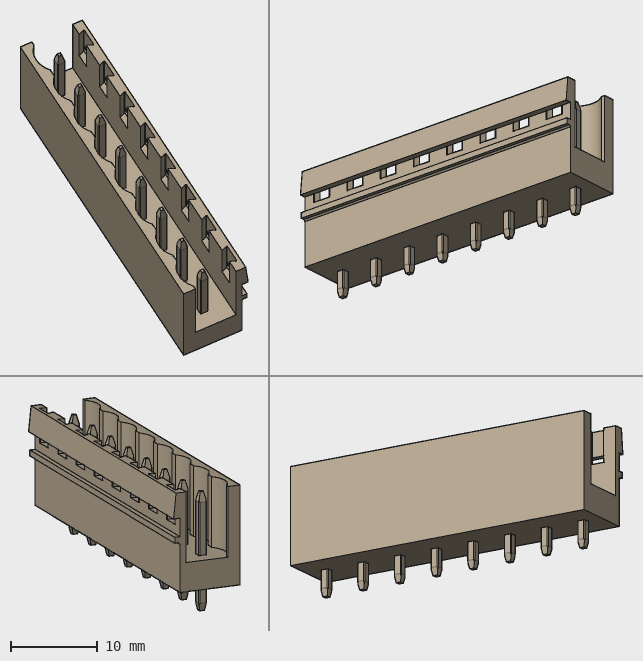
import cadquery as cq

pin_count = 8
pitch = 5.0
length = pin_count * pitch
pin_y = 3.8
pin_width = 1.0
pin_edge_chamfer = 0.1
pin_length = 14.3
lower_tip_length = 0.95
lower_tip_width = 0.6
upper_tip_length = 1.2
upper_tip_width = 0.4

housing_bottom = 3.2
housing_top = 15.2
floor_top = 6.7
front_wall = 1.5
back_wall_inner = 6.85
back_wall_outer = 7.65
scallop_radius = 3.05

latch_bottom = 12.1
latch_top_y = 8.1
latch_bottom_y = 8.45

rib_bottom = 9.2
rib_top = 9.9
rib_y = 8.3
rib_root_chamfer = 0.2

slot_bottom = 11.05
slot_mouth_width = 1.75
slot_back_width = 2.3
slot_straight_depth = 0.1

pin_positions = [(i + 0.5) * pitch for i in range(pin_count)]


def make_trough():
    """U-shaped section with the latch and the rib, run along the whole length."""
    profile = [
        (0, housing_bottom),
        (back_wall_outer, housing_bottom),
        (back_wall_outer, rib_bottom - rib_root_chamfer),
        (back_wall_outer + rib_root_chamfer, rib_bottom),
        (rib_y, rib_bottom),
        (rib_y, rib_top),
        (back_wall_outer, rib_top),
        (back_wall_outer, latch_bottom),
        (latch_bottom_y, latch_bottom),
        (latch_top_y, housing_top),
        (back_wall_inner, housing_top),
        (back_wall_inner, floor_top),
        (front_wall, floor_top),
        (front_wall, housing_top),
        (0, housing_top),
    ]
    return cq.Workplane("YZ").polyline(profile).close().extrude(length)


def make_scallop(x):
    """Round clearance around a pin, cut into the front wall above the floor."""
    return (
        cq.Workplane("XY", origin=(x, pin_y, floor_top))
        .circle(scallop_radius)
        .extrude(housing_top - floor_top)
        .intersect(front_block())
    )


def front_block():
    """Block that keeps the scallop cylinders off the back wall."""
    return cq.Workplane("XY").box(length, pin_y, housing_top, centered=False)


def make_slot(x):
    """Slot that widens toward the back of the wall, open at the top."""
    half_mouth = slot_mouth_width / 2
    half_back = slot_back_width / 2
    flare_end = back_wall_outer - slot_straight_depth
    outline = [
        (x - half_mouth, back_wall_inner),
        (x + half_mouth, back_wall_inner),
        (x + half_back, flare_end),
        (x + half_back, back_wall_outer),
        (x - half_back, back_wall_outer),
        (x - half_back, flare_end),
    ]
    return (
        cq.Workplane("XY", origin=(0, 0, slot_bottom))
        .polyline(outline)
        .close()
        .extrude(housing_top - slot_bottom)
    )


def make_tip(base_z, end_z, end_width):
    """Square taper from the full pin width to the end width."""
    return (
        cq.Workplane("XY", origin=(0, 0, base_z))
        .rect(pin_width, pin_width)
        .workplane(offset=end_z - base_z)
        .rect(end_width, end_width)
        .loft()
    )


def make_pin_blank():
    """Square bar with chamfered long edges."""
    return (
        cq.Workplane("XY")
        .rect(pin_width, pin_width)
        .extrude(pin_length)
        .edges("|Z")
        .chamfer(pin_edge_chamfer)
    )


def make_pin(x):
    """Pin with a tapered tip at both ends."""
    upper_tip_base = pin_length - upper_tip_length
    envelope = (
        cq.Workplane("XY", origin=(0, 0, lower_tip_length))
        .rect(pin_width, pin_width)
        .extrude(upper_tip_base - lower_tip_length)
        .union(make_tip(lower_tip_length, 0, lower_tip_width))
        .union(make_tip(upper_tip_base, pin_length, upper_tip_width))
    )
    return make_pin_blank().intersect(envelope).translate((x, pin_y, 0))


pins = [make_pin(x) for x in pin_positions]

housing = make_trough()
for x, pin in zip(pin_positions, pins):
    housing = housing.cut(make_scallop(x)).cut(make_slot(x)).cut(pin)

result = cq.Compound.makeCompound([housing.val(), *[pin.val() for pin in pins]])